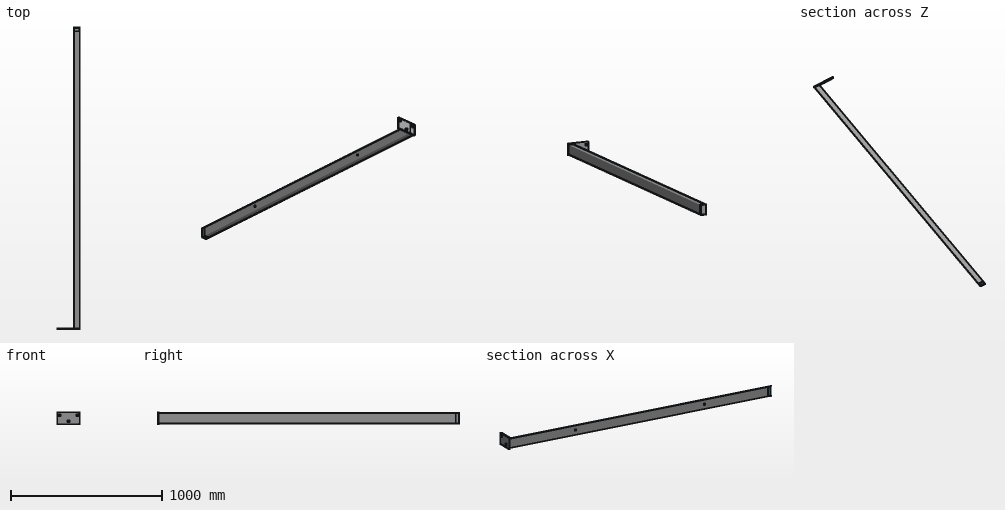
import cadquery as cq

total_length = 1993.0
plate_width = 150.0
plate_height = 80.0
plate_thickness = 8.0
plate_corner_radius = 5.0

tube_width = 40.0
tube_height = 70.0
tube_wall = 3.0
tube_corner_radius = 4.0
bore_corner_radius = 2.0
tube_center_x = (plate_width - tube_width) / 2

cap_flange = 5.0
cap_plug = 20.0
tube_end = total_length - cap_flange
tube_length = tube_end - plate_thickness

slot_length = 16.0
slot_height = 12.0
slot_x = 60.0
slot_z = 20.0
slot_centers = [(-slot_x, slot_z), (slot_x, slot_z), (0, -slot_z)]

hole_diameter = 10.0
hole_inset = 500.0
hole_places = [plate_thickness + hole_inset, tube_end - hole_inset]


def section_at(y):
    """Workplane at the given Y with local x along +X and local y along +Z; -Y is its normal."""
    return cq.Workplane("XZ", origin=(0, y, 0))


def rounded_bar(center_x, width, height, radius, start_y, length):
    """Bar running from start_y towards +Y, with its four long edges rounded."""
    bar = section_at(start_y).center(center_x, 0).rect(width, height).extrude(-length)
    return bar.edges("|Y").fillet(radius)


def tube_outline(start_y, length):
    return rounded_bar(tube_center_x, tube_width, tube_height, tube_corner_radius, start_y, length)


def tube_bore(start_y, length):
    bore_width = tube_width - 2 * tube_wall
    bore_height = tube_height - 2 * tube_wall
    return rounded_bar(tube_center_x, bore_width, bore_height, bore_corner_radius, start_y, length)


def make_plate():
    plate = rounded_bar(0, plate_width, plate_height, plate_corner_radius, 0, plate_thickness)
    slots = section_at(0).pushPoints(slot_centers).slot2D(slot_length, slot_height).extrude(-plate_thickness)
    return plate.cut(slots)


def make_tube():
    tube = tube_outline(plate_thickness, tube_length).cut(tube_bore(plate_thickness, tube_length))
    holes = (
        cq.Workplane("YZ", origin=(tube_center_x - tube_width / 2, 0, 0))
        .pushPoints([(y, 0) for y in hole_places])
        .circle(hole_diameter / 2)
        .extrude(tube_wall)
    )
    return tube.cut(holes)


def make_cap():
    flange = tube_outline(tube_end, cap_flange)
    plug = tube_bore(tube_end - cap_plug, cap_plug)
    return flange.union(plug)


plate = make_plate()
tube = make_tube()
cap = make_cap()
result = cq.Compound.makeCompound([plate.val(), tube.val(), cap.val()])